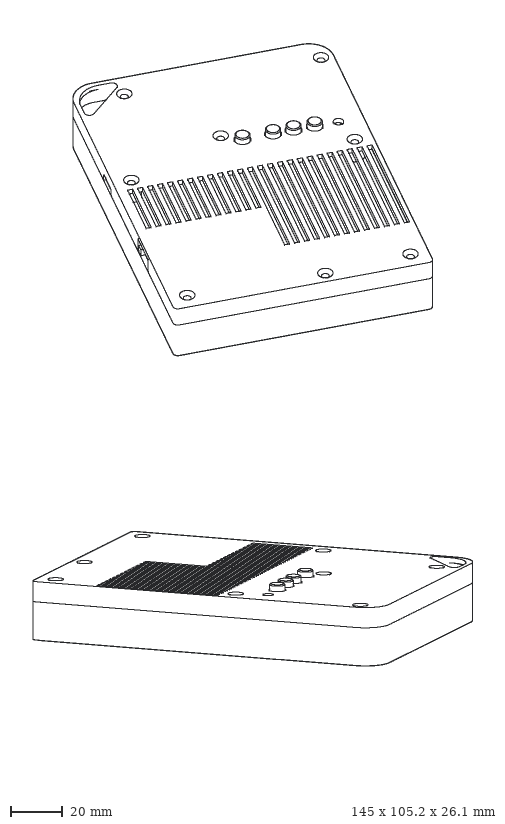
import cadquery as cq
import math

case_length = 145.0
case_width = 104.7
left_radius = 10.0
right_radius = 2.0
wall = 2.0

panel_thickness = 0.51
base_height = 15.1
lid_height = 8.0
button_rise = 2.54
panel_bottom = 0
base_bottom = panel_bottom + panel_thickness
parting_plane = base_bottom + base_height
lid_top = parting_plane + lid_height
roof_underside = lid_top - wall

panel_left = 42.8
panel_length = case_length - wall - panel_left
panel_width = case_width - 2 * wall
board_thickness = 1.6

loop_leg = 20.0
loop_tip_radius = 2.0

screw_places = [
    (10.0, 20.3),
    (10.0, 99.6),
    (45.8, 48.5),
    (62.5, 7.4),
    (62.8, 97.5),
    (137.8, 7.4),
    (137.8, 97.5),
    (139.8, 62.5),
]
screw_head_diameter = 6.0
screw_diameter = 3.0
screw_straight_end = 5.5
drill_tip_angle = 118
boss_diameter = 8.0

button_x = 50.5
button_ys = [55.8, 68.2, 76.4, 85.0]
button_diameter = 6.0
button_hole_diameter = 6.5
button_chamfer = 0.5
indicator_y = 94.5
indicator_diameter = 4.0

vent_left = 68.2
short_vent_length = 25.0
long_vent_length = 50.2
short_vent_count = 12
long_vent_count = 13
vent_width = 2.0
first_vent_y = 5.2
last_vent_y = 101.8
vent_pitch = (last_vent_y - first_vent_y) / (short_vent_count + long_vent_count - 1)

usb_left = 49.7
usb_width = 10.0
usb_height = 3.0
usb_corner_radius = 1.0
usb_setback = 1.0
usb_depth = 2.9

switch_left = 96.0
switch_width = 13.6
switch_height = 5.5
switch_window_height = roof_underside - parting_plane
switch_depth = 4.4
knob_left = 98.5
knob_size = 2.9
knob_lift = 1.7
knob_rise = 0.5


def block(x, y, z, length, width, height):
    """Box placed by its lowest corner."""
    return cq.Workplane("XY").box(length, width, height, centered=False).translate((x, y, z))


def disc_column(places, diameter, bottom, top):
    """Upright cylinders between two heights."""
    return (
        cq.Workplane("XY", origin=(0, 0, bottom))
        .pushPoints(places)
        .circle(diameter / 2)
        .extrude(top - bottom)
    )


def case_block(bottom, top):
    """Case outline with large left corners and small right corners."""
    return (
        block(0, 0, bottom, case_length, case_width, top - bottom)
        .edges("|Z and <X")
        .fillet(left_radius)
        .edges("|Z and >X")
        .fillet(right_radius)
    )


def loop_prism(margin, bottom, top):
    """Strap loop opening, with its long side moved inwards by the margin."""
    leg = loop_leg + margin * math.sqrt(2)
    return (
        cq.Workplane("XY", origin=(wall, wall, bottom))
        .polyline([(0, 0), (leg, 0), (0, leg)])
        .close()
        .extrude(top - bottom)
        .edges("|Z and <X and <Y")
        .fillet(left_radius)
    )


def loop_opening(bottom, top):
    """Strap loop opening with rounded tips."""
    return loop_prism(0, bottom, top).edges("|Z and (>X or >Y)").fillet(loop_tip_radius)


def cavity(bottom, top):
    """Inner space of the case, leaving a wall around the strap loop."""
    space = (
        block(wall, wall, bottom, case_length - 2 * wall, case_width - 2 * wall, top - bottom)
        .edges("|Z and <X")
        .fillet(left_radius - wall)
    )
    return space.cut(loop_prism(wall, bottom, top))


def screw_hole(place):
    """Countersunk blind hole, revolved about its own axis."""
    head_radius = screw_head_diameter / 2
    radius = screw_diameter / 2
    countersink_depth = head_radius - radius
    tip_length = radius / math.tan(math.radians(drill_tip_angle / 2))
    return (
        cq.Workplane("XZ")
        .polyline(
            [
                (0, 0),
                (head_radius, 0),
                (radius, -countersink_depth),
                (radius, -screw_straight_end),
                (0, -screw_straight_end - tip_length),
            ]
        )
        .close()
        .revolve(360, (0, 0, 0), (0, 1, 0))
        .translate((place[0], place[1], lid_top))
    )


def vent_slots():
    """List of all the slots through the lid roof."""
    slots = []
    for index in range(short_vent_count + long_vent_count):
        length = short_vent_length if index < short_vent_count else long_vent_length
        front = first_vent_y + index * vent_pitch - vent_width / 2
        slots.append(block(vent_left, front, roof_underside, length, vent_width, wall))
    return slots


def usb_block(front, back):
    """USB socket outline with rounded upper corners, between two Y positions."""
    return (
        block(usb_left, front, parting_plane, usb_width, back - front, usb_height)
        .edges("|Y and >Z")
        .fillet(usb_corner_radius)
    )


def button_places():
    """Centres of the push buttons."""
    return [(button_x, y) for y in button_ys]


def make_base():
    """Open tray with the strap loop through its corner."""
    tray = case_block(base_bottom, parting_plane)
    tray = tray.cut(cavity(base_bottom + wall, parting_plane))
    return tray.cut(loop_opening(base_bottom, parting_plane))


def make_lid():
    """Shell with screw bosses, vents, and openings for the parts on the board."""
    lid = case_block(parting_plane, lid_top)
    lid = lid.cut(cavity(parting_plane, roof_underside))
    lid = lid.union(disc_column(screw_places, boss_diameter, parting_plane, roof_underside))
    for place in screw_places:
        lid = lid.cut(screw_hole(place))
    for slot in vent_slots():
        lid = lid.cut(slot)
    lid = lid.cut(disc_column(button_places(), button_hole_diameter, roof_underside, lid_top))
    lid = lid.cut(disc_column([(button_x, indicator_y)], indicator_diameter, roof_underside, lid_top))
    lid = lid.cut(usb_block(0, wall))
    lid = lid.cut(block(switch_left, 0, parting_plane, switch_width, wall, switch_window_height))
    return lid.cut(loop_opening(parting_plane, lid_top))


def make_board():
    """Circuit board carrying the push buttons, the USB socket and the slide switch."""
    board = block(
        panel_left, wall, parting_plane - board_thickness, panel_length, panel_width, board_thickness
    )
    buttons = (
        disc_column(button_places(), button_diameter, parting_plane, lid_top + button_rise)
        .faces(">Z")
        .chamfer(button_chamfer)
    )
    switch = block(switch_left, wall, parting_plane, switch_width, switch_depth, switch_height)
    knob = block(
        knob_left, -knob_rise, parting_plane + knob_lift, knob_size, wall + knob_rise, knob_size
    )
    board = board.union(buttons)
    board = board.union(usb_block(usb_setback, usb_setback + usb_depth))
    return board.union(switch).union(knob)


def make_panel():
    """Display panel on the underside of the base."""
    return block(panel_left, wall, panel_bottom, panel_length, panel_width, panel_thickness)


base = make_base()
lid = make_lid()
board = make_board()
panel = make_panel()

result = cq.Compound.makeCompound([base.val(), lid.val(), board.val(), panel.val()])